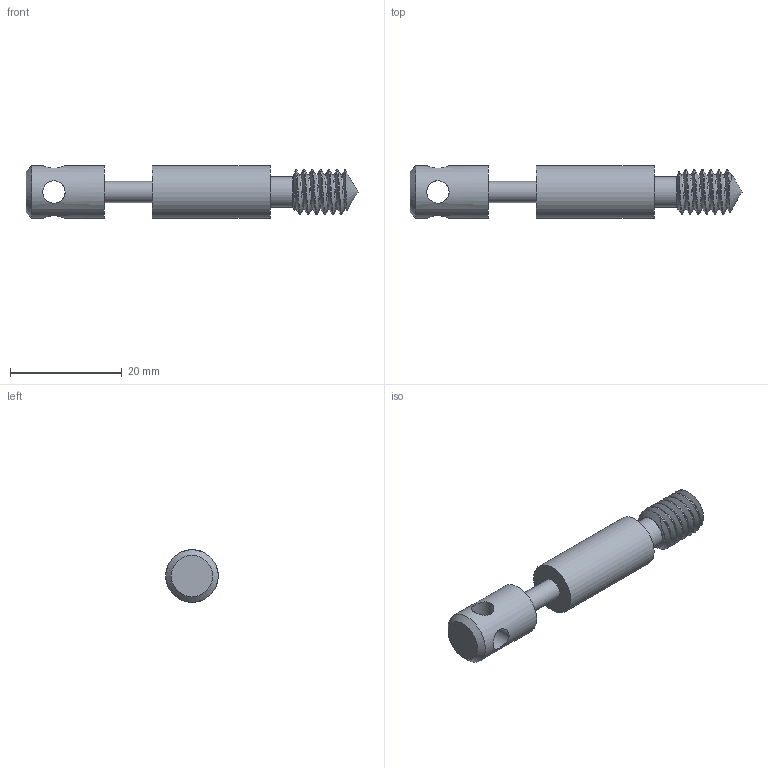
import cadquery as cq
import math

HEAD_DIAMETER = 9.4
HEAD_CHAMFER = 1.0
HEAD_END = 14.0
STEM_DIAMETER = 3.8
STEM_END = 22.6
BODY_DIAMETER = HEAD_DIAMETER
BODY_END = 43.7
NECK_DIAMETER = 5.4
NECK_END = 47.72
PIN_LENGTH = 59.4
POINT_HALF_ANGLE = 60.0

CROSS_HOLE_DIAMETER = 4.0
CROSS_HOLE_STATION = 5.0

THREAD_DIAMETER = 8.0
THREAD_ROOT_DIAMETER = 6.22
THREAD_PITCH = 1.48
THREAD_FLANK_ANGLE = 30.0
THREAD_ROOT_FLAT = 0.3
LEAD_START_DIAMETER = 5.6
LEAD_HALF_ANGLE = 65.0

GROOVE_START = 46.04
GROOVE_TURNS = 9
GROOVE_OVERCUT = 0.05
ROD_OVERLENGTH = 2.0


def revolve_about_pin_axis(outline):
    """Turn a closed half outline of (station, radius) points into a solid of revolution."""
    return cq.Workplane("XY").polyline(outline).close().revolve(360, (0, 0, 0), (1, 0, 0))


def make_shank():
    """Chamfered head, thin stem, body and neck, up to the start of the thread."""
    head_radius = HEAD_DIAMETER / 2
    stem_radius = STEM_DIAMETER / 2
    body_radius = BODY_DIAMETER / 2
    neck_radius = NECK_DIAMETER / 2
    return revolve_about_pin_axis(
        [
            (0, 0),
            (0, head_radius - HEAD_CHAMFER),
            (HEAD_CHAMFER, head_radius),
            (HEAD_END, head_radius),
            (HEAD_END, stem_radius),
            (STEM_END, stem_radius),
            (STEM_END, body_radius),
            (BODY_END, body_radius),
            (BODY_END, neck_radius),
            (NECK_END, neck_radius),
            (NECK_END, 0),
        ]
    )


def make_point_envelope():
    """Outer shape of the threaded end: a lead-in cone, a cylinder and the conical point."""
    thread_radius = THREAD_DIAMETER / 2
    lead_start_radius = LEAD_START_DIAMETER / 2
    lead_length = (thread_radius - lead_start_radius) / math.tan(math.radians(LEAD_HALF_ANGLE))
    point_length = thread_radius / math.tan(math.radians(POINT_HALF_ANGLE))
    return revolve_about_pin_axis(
        [
            (NECK_END, 0),
            (NECK_END, lead_start_radius),
            (NECK_END + lead_length, thread_radius),
            (PIN_LENGTH - point_length, thread_radius),
            (PIN_LENGTH, 0),
        ]
    )


def make_cross_hole(plane_name):
    """Cylinder through the head, centred on the pin axis and normal to the named plane."""
    return (
        cq.Workplane(plane_name)
        .center(CROSS_HOLE_STATION, 0)
        .circle(CROSS_HOLE_DIAMETER / 2)
        .extrude(HEAD_DIAMETER, both=True)
    )


def make_thread_groove():
    """Sweep the V-shaped groove section along a helix, starting on the +Z side of the pin."""
    root_radius = THREAD_ROOT_DIAMETER / 2
    outer_radius = THREAD_DIAMETER / 2 + GROOVE_OVERCUT
    flank_run = (outer_radius - root_radius) * math.tan(math.radians(THREAD_FLANK_ANGLE))
    root_half_width = THREAD_ROOT_FLAT / 2
    outer_half_width = root_half_width + flank_run
    helix = cq.Wire.makeHelix(
        THREAD_PITCH,
        THREAD_PITCH * GROOVE_TURNS,
        root_radius,
        center=cq.Vector(GROOVE_START, 0, 0),
        dir=cq.Vector(1, 0, 0),
    )
    section_plane = cq.Plane(origin=(GROOVE_START, 0, 0), xDir=(1, 0, 0), normal=(0, -1, 0))
    section = (
        cq.Workplane(section_plane)
        .moveTo(-root_half_width, root_radius)
        .lineTo(root_half_width, root_radius)
        .lineTo(outer_half_width, outer_radius)
        .lineTo(-outer_half_width, outer_radius)
        .close()
    )
    return section.sweep(cq.Workplane(helix), isFrenet=True)


def make_threaded_end():
    """Cut the thread in an overlong rod, then trim the rod to the pointed outer shape."""
    rod = (
        cq.Workplane("YZ")
        .workplane(offset=NECK_END - ROD_OVERLENGTH)
        .circle(THREAD_DIAMETER / 2)
        .extrude(PIN_LENGTH - NECK_END + 2 * ROD_OVERLENGTH)
    )
    return rod.cut(make_thread_groove()).intersect(make_point_envelope())


result = make_shank().union(make_threaded_end())
for hole_plane in ("XY", "XZ"):
    result = result.cut(make_cross_hole(hole_plane))